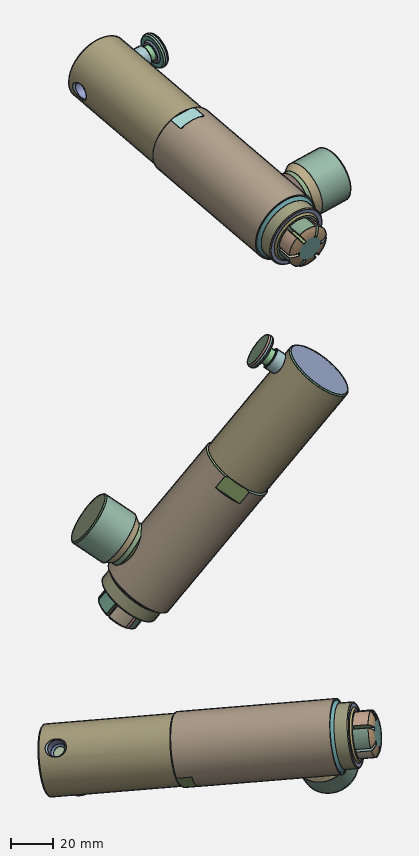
import cadquery as cq

LENGTH = 161.9
REAR_R = 34.8 / 2
REAR_LENGTH = 64.6
REAR_CHAMFER = 0.6
SLEEVE_R = 36.3 / 2
SLEEVE_LEAD = 0.6
SLEEVE_END = 143.0
COLLAR_R = 31.7 / 2
COLLAR_END = 151.4
COLLAR_CHAMFER = 0.5
SHOULDER_R = 13.5
SHOULDER_TAPER = 1.0
NOSE_R = 22.7 / 2
NOSE_DOME_START = 160.0
NOSE_DOME_MID = (161.4, 8.7)
NOSE_TIP_R = 6.3

FLATS_ACROSS = 33.4
FLAT_END = 72.7

SLOT_COUNT = 6
SLOT_WIDTH = 1.6
SLOT_FLOOR_R = 6.5

STATION_X = 8.9
HOLE_R = 8.4 / 2
HOLE_FLOOR_R = 6.3 / 2
HOLE_MOUTH_R = 5.2
HOLE_DEPTH = 8.1

KNOB_HUB_R = 10.7 / 2
KNOB_HUB_TOP = 22.5
KNOB_HUB_CHAMFER = 0.3
KNOB_STEM_R = 8.4 / 2
KNOB_STEM_TOP = 25.7
KNOB_CONE_R = 6.2
KNOB_DISC_R = 17.8 / 2
KNOB_DISC_BOTTOM = 26.7
KNOB_DISC_TOP = 29.8
KNOB_RIM_DROP = 0.5
KNOB_RIM_HEIGHT = 1.0

FITTING_X = 128.2
FITTING_R = 27.8 / 2
FITTING_TOP = 41.0
FITTING_CHAMFER = 0.6
FITTING_BARREL_BOTTOM = 23.2
FITTING_NECK_R = 23.0 / 2
FITTING_NECK_TOP = 19.5
FITTING_NECK_BOTTOM = 17.0
FITTING_ROOT_R = 17.5 / 2


def revolve_about_y(profile, x):
    """Turn (radius, y) points about the line parallel to Y at the given X."""
    turned = cq.Workplane("XY").polyline(profile).close().revolve(360, (0, 0, 0), (0, 1, 0))
    return turned.translate((x, 0, 0))


def make_body():
    neck_taper = REAR_R - COLLAR_R
    shoulder_end = COLLAR_END + SHOULDER_TAPER
    return (
        cq.Workplane("XY")
        .moveTo(0, 0)
        .lineTo(0, REAR_R - REAR_CHAMFER)
        .lineTo(REAR_CHAMFER, REAR_R)
        .lineTo(REAR_LENGTH, REAR_R)
        .lineTo(REAR_LENGTH + SLEEVE_LEAD, SLEEVE_R)
        .lineTo(SLEEVE_END, SLEEVE_R)
        .lineTo(SLEEVE_END, REAR_R)
        .lineTo(SLEEVE_END + neck_taper, COLLAR_R)
        .lineTo(COLLAR_END - COLLAR_CHAMFER, COLLAR_R)
        .lineTo(COLLAR_END, COLLAR_R - COLLAR_CHAMFER)
        .lineTo(COLLAR_END, SHOULDER_R)
        .lineTo(shoulder_end, SHOULDER_R - SHOULDER_TAPER)
        .lineTo(shoulder_end, NOSE_R)
        .lineTo(NOSE_DOME_START, NOSE_R)
        .threePointArc(NOSE_DOME_MID, (LENGTH, NOSE_TIP_R))
        .lineTo(LENGTH, 0)
        .close()
        .revolve(360, (0, 0, 0), (1, 0, 0))
    )


def cut_wrench_flats(body):
    flat_length = FLAT_END - REAR_LENGTH
    flat_depth = SLEEVE_R - FLATS_ACROSS / 2
    flat_offset = (FLATS_ACROSS + flat_depth) / 2
    for side in (1, -1):
        cutter = cq.Workplane("XY").box(flat_length, 2 * SLEEVE_R, flat_depth, centered=(False, True, True))
        body = body.cut(cutter.translate((REAR_LENGTH, 0, side * flat_offset)))
    return body


def cut_nose_slots(body):
    slot_start = COLLAR_END + SHOULDER_TAPER
    slot = (
        cq.Workplane("XY")
        .box(LENGTH - slot_start, NOSE_R, SLOT_WIDTH, centered=(False, False, True))
        .translate((slot_start, SLOT_FLOOR_R, 0))
    )
    for index in range(SLOT_COUNT):
        angle = 360 * index / SLOT_COUNT
        body = body.cut(slot.rotate((0, 0, 0), (1, 0, 0), angle))
    return body


def cut_blind_hole(body):
    floor_y = -REAR_R + HOLE_DEPTH
    cone_depth = HOLE_MOUTH_R - HOLE_R
    cutter = revolve_about_y(
        [
            (0, floor_y),
            (HOLE_FLOOR_R, floor_y),
            (HOLE_R, floor_y - (HOLE_R - HOLE_FLOOR_R)),
            (HOLE_R, -REAR_R + cone_depth),
            (HOLE_MOUTH_R + cone_depth, -REAR_R - cone_depth),
            (0, -REAR_R - cone_depth),
        ],
        STATION_X,
    )
    return body.cut(cutter)


def make_knob():
    root_y = REAR_R / 2
    rim_r = KNOB_DISC_R - KNOB_RIM_DROP
    return revolve_about_y(
        [
            (0, root_y),
            (KNOB_HUB_R, root_y),
            (KNOB_HUB_R, KNOB_HUB_TOP - KNOB_HUB_CHAMFER),
            (KNOB_HUB_R - KNOB_HUB_CHAMFER, KNOB_HUB_TOP),
            (KNOB_STEM_R, KNOB_HUB_TOP),
            (KNOB_STEM_R, KNOB_STEM_TOP),
            (KNOB_HUB_R, KNOB_STEM_TOP),
            (KNOB_CONE_R, KNOB_DISC_BOTTOM),
            (rim_r, KNOB_DISC_BOTTOM),
            (KNOB_DISC_R, KNOB_DISC_BOTTOM + KNOB_RIM_HEIGHT),
            (KNOB_DISC_R, KNOB_DISC_TOP - KNOB_RIM_HEIGHT),
            (rim_r, KNOB_DISC_TOP),
            (0, KNOB_DISC_TOP),
        ],
        STATION_X,
    )


def make_fitting():
    root_y = FITTING_NECK_BOTTOM - (FITTING_NECK_R - FITTING_ROOT_R)
    return revolve_about_y(
        [
            (0, root_y),
            (FITTING_ROOT_R, root_y),
            (FITTING_NECK_R, FITTING_NECK_BOTTOM),
            (FITTING_NECK_R, FITTING_NECK_TOP),
            (FITTING_R, FITTING_BARREL_BOTTOM),
            (FITTING_R, FITTING_TOP - FITTING_CHAMFER),
            (FITTING_R - FITTING_CHAMFER, FITTING_TOP),
            (0, FITTING_TOP),
        ],
        FITTING_X,
    )


body = cut_wrench_flats(make_body())
body = cut_nose_slots(body)
body = cut_blind_hole(body)
result = body.union(make_knob()).union(make_fitting())